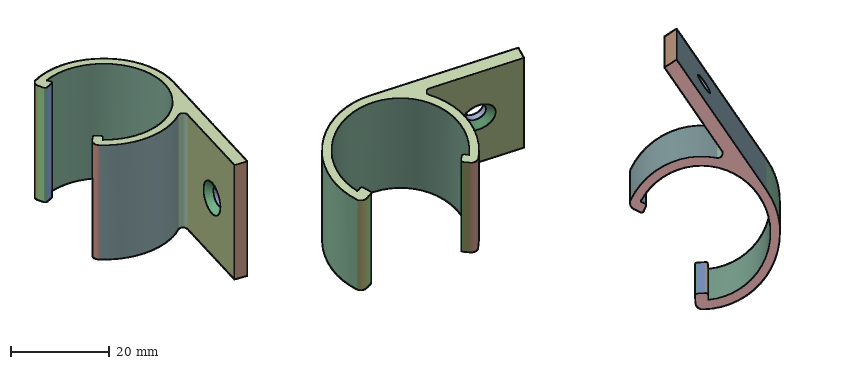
import cadquery as cq
import math

total_length = 48.95
height = 28.0
outer_radius = 16.0
wall = 1.95
inner_radius = outer_radius - wall

plate_thickness = 3.0
plate_end = total_length - outer_radius
plate_front = outer_radius - plate_thickness
web_fillet = 1.0

hole_x = 22.9
hole_diameter = 4.5
countersink_diameter = 7.5
countersink_angle = 90.0

lip_angle = 30.0
lip_tip_radius = 12.6
lip_back = 0.45
left_lip_front = 2.25
right_lip_front = 1.6
lip_tip_fillet = 0.5
lip_outer_fillet = 1.45


def cylinder(radius):
    return cq.Workplane("XY").circle(radius).extrude(height / 2, both=True)


def block(x_min, x_max, y_min, y_max):
    """Full-height rectangular block."""
    return (
        cq.Workplane("XY")
        .center((x_min + x_max) / 2, (y_min + y_max) / 2)
        .rect(x_max - x_min, y_max - y_min)
        .extrude(height / 2, both=True)
    )


def make_body():
    """Solid disc and plate, with a fillet in the corner between them."""
    plate = block(0, plate_end, plate_front, outer_radius)
    body = cylinder(outer_radius).union(plate)
    corner_x = math.sqrt(outer_radius**2 - plate_front**2)
    corner = cq.selectors.NearestToPointSelector((corner_x, plate_front, 0))
    return body.edges("|Z").edges(corner).fillet(web_fillet)


def make_opening():
    """Wedge that opens the front of the ring between the two lip radii."""
    reach = 2 * outer_radius
    x = reach * math.cos(math.radians(lip_angle))
    y = -reach * math.sin(math.radians(lip_angle))
    return (
        cq.Workplane("XY")
        .polyline([(0, 0), (-x, y), (-x, -reach), (x, -reach), (x, y)])
        .close()
        .extrude(height / 2, both=True)
    )


def make_lip(front, side):
    """Lip block with a rounded tip; side is 1 for +X and -1 for -X.

    The block reaches past the ring, whose outer surface trims it.
    """
    y_limits = sorted((-side * front, side * lip_back))
    x_limits = (lip_tip_radius, 2 * outer_radius)
    lip = block(*x_limits, *y_limits).edges("|Z and <X").fillet(lip_tip_fillet)
    direction = -lip_angle if side == 1 else 180 + lip_angle
    return lip.rotate((0, 0, 0), (0, 0, 1), direction)


def round_lip(body, front, side):
    """Round the corner where the front of a lip meets the outside of the ring."""
    angle = math.radians(lip_angle) + math.asin(front / outer_radius)
    x = side * outer_radius * math.cos(angle)
    y = -outer_radius * math.sin(angle)
    corner = cq.selectors.NearestToPointSelector((x, y, 0))
    return body.edges("|Z").edges(corner).fillet(lip_outer_fillet)


cavity = cylinder(inner_radius).union(make_opening())
lips = ((right_lip_front, 1), (left_lip_front, -1))
for lip_front, lip_side in lips:
    cavity = cavity.cut(make_lip(lip_front, lip_side))

result = make_body().cut(cavity)
for lip_front, lip_side in lips:
    result = round_lip(result, lip_front, lip_side)

hole_plane = cq.Plane(origin=(hole_x, plate_front, 0), xDir=(1, 0, 0), normal=(0, -1, 0))
result = result.copyWorkplane(cq.Workplane(hole_plane)).cskHole(
    hole_diameter, countersink_diameter, countersink_angle
)